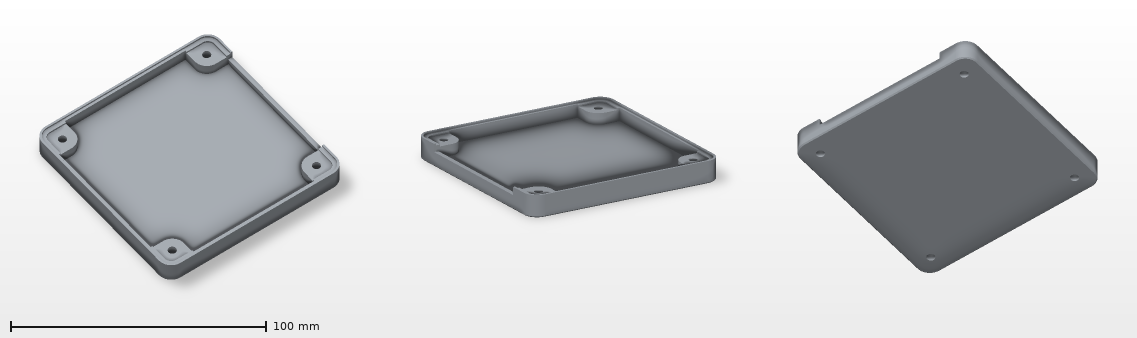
import cadquery as cq

side = 87.28
height = 9.4
corner_radius = 6.0
bottom_chamfer = 0.5

lip_width = 0.9
lip_depth = 0.8
wall = 2.0
pocket_depth = 6.4
boss_recess_wall = 2.8
boss_recess_depth = 1.6

hole_inset = 8.14
hole_diameter = 3.6
boss_radius = 5.85

gap_depth = 3.4

floor_z = height - pocket_depth
boss_top_z = height - boss_recess_depth
ledge_z = height - lip_depth
hole_offset = side / 2 - hole_inset
boss_inner_offset = hole_offset - boss_radius
corner_signs = [(sx, sy) for sx in (-1, 1) for sy in (-1, 1)]


def inset_block(inset, bottom_z, top_z):
    """Rounded square block whose sides lie `inset` inside the outer walls."""
    size = side - 2 * inset
    block = cq.Workplane("XY").workplane(offset=bottom_z).rect(size, size).extrude(top_z - bottom_z)
    return block.edges("|Z").fillet(corner_radius - inset)


def corner_boss(sign_x, sign_y, bottom_z, top_z):
    """Corner square, reaching the outer walls, with its inward corner rounded about the hole."""
    size = side / 2 - boss_inner_offset
    center = boss_inner_offset + size / 2
    boss = (
        cq.Workplane("XY")
        .workplane(offset=bottom_z)
        .center(sign_x * center, sign_y * center)
        .rect(size, size)
        .extrude(top_z - bottom_z)
    )
    inward_edge = "{}X and {}Y".format("<" if sign_x > 0 else ">", "<" if sign_y > 0 else ">")
    return boss.edges("|Z").edges(inward_edge).fillet(boss_radius)


def shell():
    """Solid tray body with a chamfered bottom edge."""
    return inset_block(0, 0, height).faces("<Z").chamfer(bottom_chamfer)


def interior():
    """Cavity: stepped lip, main pocket between the bosses, and shallow recesses over the bosses."""
    pocket = inset_block(wall, floor_z, ledge_z)
    for sign_x, sign_y in corner_signs:
        pocket = pocket.cut(corner_boss(sign_x, sign_y, floor_z, ledge_z))
    boss_recess = inset_block(boss_recess_wall, boss_top_z, ledge_z)
    lip = inset_block(lip_width, ledge_z, height)
    return pocket.union(boss_recess).union(lip)


def wall_gap():
    """Lowered stretch of the +Y wall between its two bosses."""
    return (
        cq.Workplane("XY")
        .workplane(offset=height - gap_depth)
        .center(0, side / 2 - wall / 2)
        .rect(2 * boss_inner_offset, wall)
        .extrude(gap_depth)
    )


def screw_holes():
    """Through holes on the boss axes."""
    centers = [(sx * hole_offset, sy * hole_offset) for sx, sy in corner_signs]
    return cq.Workplane("XY").pushPoints(centers).circle(hole_diameter / 2).extrude(height)


result = shell().cut(interior()).cut(wall_gap()).cut(screw_holes())